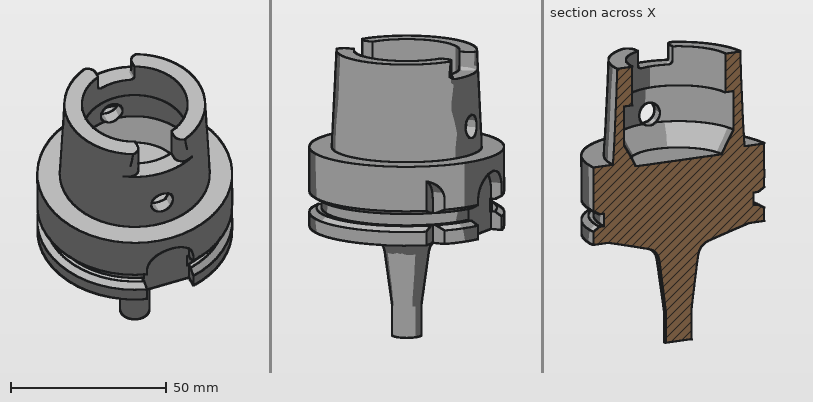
import cadquery as cq
import math

TOTAL_HEIGHT = 93.9
SHANK_TOP = 10.1
NECK_TOP = 28.0
FLANGE_BOTTOM = 36.1
FLANGE_TOP = 62.1
GROOVE_BOTTOM = 42.0
GROOVE_TOP = 46.0
GROOVE_CHAMFER_HEIGHT = 1.4

SHANK_RADIUS = 4.8
NECK_RADIUS = 7.2
NECK_FILLET = 5.2
DISH_RADIUS = 25.8
DISH_ANGLE = 15.0
FLANGE_RADIUS = 31.5
GROOVE_LIP_RADIUS = 29.1
GROOVE_RADIUS = 27.5
TAPER_BASE_RADIUS = 24.2
TAPER_TOP_RADIUS = 22.7

BORE_RADIUS = 34.1 / 2
RECESS_RADIUS = 40.1 / 2
BORE_FLOOR_RADIUS = 15.7
RECESS_TOP = 80.85
RECESS_BOTTOM = 68.1
BORE_FLOOR = 60.5

DRIVE_SLOT_HALF_WIDTH = 6.3
DRIVE_SLOT_CORNER_RADIUS = 2.8
DRIVE_LUG_REACH = 20.8
DRIVE_LUG_SLANT = 23.0
DRIVE_SLOT_FLOOR_LEFT = 87.9
DRIVE_SLOT_FLOOR_RIGHT = 83.9
DRIVE_SLOT_FILLET = 1.4

CROSS_HOLE_DIAMETER = 7.5
CROSS_HOLE_HEIGHT = 71.1

KEY_SLOT_TOP = 57.1
KEY_SLOT_RADIUS = 8.1
KEY_SLOT_FLOOR = 26.5
NOTCH_TOP = 57.7
NOTCH_RADIUS = 6.95
NOTCH_EDGE_Y = 19.8
NOTCH_FLOOR = 20.1

CLEARANCE = 4.7
OUTSIDE = FLANGE_RADIUS + CLEARANCE


def revolve_profile(points):
    return cq.Workplane("XZ").polyline(points).close().revolve(360, (0, 0), (0, 1))


def turned_body():
    """Shank, conical neck, dished underside, grooved flange and taper."""
    neck_slope = (NECK_RADIUS - SHANK_RADIUS) / (NECK_TOP - SHANK_TOP)
    dish_slope = math.tan(math.radians(DISH_ANGLE))
    dish_height_at_axis = FLANGE_BOTTOM - dish_slope * DISH_RADIUS
    corner_radius = (
        NECK_RADIUS + neck_slope * (dish_height_at_axis - NECK_TOP)
    ) / (1 - neck_slope * dish_slope)
    corner_height = dish_height_at_axis + dish_slope * corner_radius

    body = revolve_profile([
        (0, 0),
        (SHANK_RADIUS, 0),
        (SHANK_RADIUS, SHANK_TOP),
        (corner_radius, corner_height),
        (DISH_RADIUS, FLANGE_BOTTOM),
        (FLANGE_RADIUS, FLANGE_BOTTOM),
        (FLANGE_RADIUS, GROOVE_BOTTOM - GROOVE_CHAMFER_HEIGHT),
        (GROOVE_LIP_RADIUS, GROOVE_BOTTOM),
        (GROOVE_RADIUS, GROOVE_BOTTOM),
        (GROOVE_RADIUS, GROOVE_TOP),
        (GROOVE_LIP_RADIUS, GROOVE_TOP),
        (FLANGE_RADIUS, GROOVE_TOP + GROOVE_CHAMFER_HEIGHT),
        (FLANGE_RADIUS, FLANGE_TOP),
        (TAPER_BASE_RADIUS, FLANGE_TOP),
        (TAPER_TOP_RADIUS, TOTAL_HEIGHT),
        (0, TOTAL_HEIGHT),
    ])
    neck_corner = cq.selectors.BoxSelector(
        (-DISH_RADIUS, -DISH_RADIUS, NECK_TOP),
        (DISH_RADIUS, DISH_RADIUS, (corner_height + FLANGE_BOTTOM) / 2),
    )
    return body.edges("%CIRCLE").edges(neck_corner).fillet(NECK_FILLET)


def clamping_bore():
    """Bore that steps out to the recess and narrows conically to the floor."""
    return revolve_profile([
        (0, BORE_FLOOR),
        (BORE_FLOOR_RADIUS, BORE_FLOOR),
        (RECESS_RADIUS, RECESS_BOTTOM),
        (RECESS_RADIUS, RECESS_TOP),
        (BORE_RADIUS, RECESS_TOP),
        (BORE_RADIUS, TOTAL_HEIGHT),
        (0, TOTAL_HEIGHT),
    ])


def drive_slot(floor_height):
    """Slot toward +X that rounds the lug corners and slants the lug ends."""
    radius = DRIVE_SLOT_CORNER_RADIUS
    slant = math.radians(DRIVE_LUG_SLANT)
    arc_center_x = DRIVE_LUG_REACH - radius
    arc_center_y = DRIVE_SLOT_HALF_WIDTH + radius
    arc_end_x = arc_center_x + radius * math.cos(slant)
    arc_end_y = arc_center_y + radius * math.sin(slant)
    arc_mid_x = arc_center_x + radius * math.sin(math.pi / 4)
    arc_mid_y = arc_center_y - radius * math.cos(math.pi / 4)
    flare_x = arc_end_x - CLEARANCE * math.sin(slant)
    flare_y = arc_end_y + CLEARANCE * math.cos(slant)
    return (
        cq.Workplane("XY", origin=(0, 0, floor_height))
        .moveTo(0, -DRIVE_SLOT_HALF_WIDTH)
        .lineTo(arc_center_x, -DRIVE_SLOT_HALF_WIDTH)
        .threePointArc((arc_mid_x, -arc_mid_y), (arc_end_x, -arc_end_y))
        .lineTo(flare_x, -flare_y)
        .lineTo(OUTSIDE, -flare_y)
        .lineTo(OUTSIDE, flare_y)
        .lineTo(flare_x, flare_y)
        .lineTo(arc_end_x, arc_end_y)
        .threePointArc((arc_mid_x, arc_mid_y), (arc_center_x, DRIVE_SLOT_HALF_WIDTH))
        .lineTo(0, DRIVE_SLOT_HALF_WIDTH)
        .close()
        .extrude(TOTAL_HEIGHT + CLEARANCE - floor_height)
    )


def flange_slot(radius, top, center_y, floor_x):
    """Round-topped slot cut into the +X side down to a flat floor."""
    arch_center = top - radius
    depth = OUTSIDE - floor_x
    arch = (
        cq.Workplane("YZ", origin=(floor_x, center_y, arch_center))
        .circle(radius)
        .extrude(depth)
    )
    leg = cq.Workplane("XY", origin=(floor_x, center_y, FLANGE_BOTTOM)).box(
        depth, 2 * radius, arch_center - FLANGE_BOTTOM, centered=(False, True, False)
    )
    return arch.union(leg)


def on_left(cutter):
    return cutter.mirror("YZ")


result = turned_body().cut(clamping_bore())

left_drive_slot = drive_slot(DRIVE_SLOT_FLOOR_LEFT).faces("<Z").edges().fillet(DRIVE_SLOT_FILLET)
result = result.cut(on_left(left_drive_slot))
result = result.cut(drive_slot(DRIVE_SLOT_FLOOR_RIGHT))

cross_hole = (
    cq.Workplane("YZ", origin=(0, 0, CROSS_HOLE_HEIGHT))
    .circle(CROSS_HOLE_DIAMETER / 2)
    .extrude(OUTSIDE, both=True)
)
result = result.cut(cross_hole)

key_slot = flange_slot(KEY_SLOT_RADIUS, KEY_SLOT_TOP, 0, KEY_SLOT_FLOOR)
notch = flange_slot(NOTCH_RADIUS, NOTCH_TOP, NOTCH_EDGE_Y + NOTCH_RADIUS, NOTCH_FLOOR)
for slot in (key_slot, on_left(key_slot), on_left(notch)):
    result = result.cut(slot)